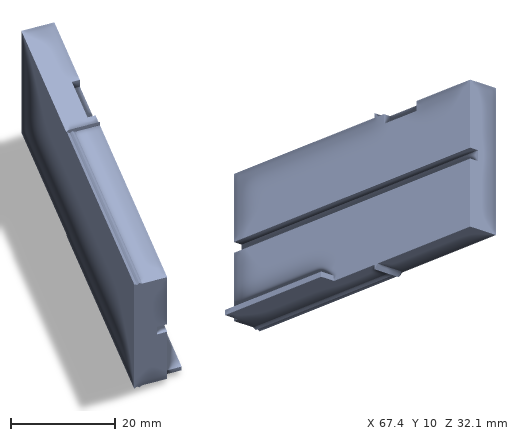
import cadquery as cq

LENGTH = 67.4
THICKNESS = 6.7
HALF_HEIGHT = 15.1

BARB_TIP = 16.05
BARB_START = 26.4
SHOULDER_X = 27.2
BARB_BEVEL = 0.5
BARB_FRONT_TIP = 15.6
BARB_FRONT_START = 26.75

BEAD_TOP = 15.5
BEAD_VALLEY_Y = 0.6
BEAD_PEAK_Y = 1.0
BEAD_BACK_Y = 1.6

CHANNEL_WIDTH = 2.2
CHANNEL_DEPTH = 2.0

NOTCH_START = 15.2
NOTCH_END = 24.6
NOTCH_DEPTH_Y = 1.6
NOTCH_DEPTH_Z = 2.0

TAB_START = 38.8
TAB_END = 66.25
TAB_THICKNESS = 1.1
TAB_REACH = 3.3

OVERLAP = 0.35


def block(x_range, y_range, z_range):
    """Box spanning the given (low, high) ranges."""
    (x0, x1), (y0, y1), (z0, z1) = x_range, y_range, z_range
    return cq.Workplane("XY").box(x1 - x0, y1 - y0, z1 - z0, centered=False).translate((x0, y0, z0))


def barb_section(start, tip, y):
    """Closed triangular wire of the barb at depth y."""
    corners = [(start, HALF_HEIGHT), (SHOULDER_X, tip), (SHOULDER_X, HALF_HEIGHT)]
    return cq.Wire.makePolygon([cq.Vector(x, y, z) for x, z in corners], close=True)


def upper_barb():
    front = barb_section(BARB_FRONT_START, BARB_FRONT_TIP, 0)
    full = barb_section(BARB_START, BARB_TIP, BARB_BEVEL)
    back = barb_section(BARB_START, BARB_TIP, THICKNESS)
    bevel = cq.Workplane(cq.Solid.makeLoft([front, full], True))
    ramp = cq.Workplane(cq.Solid.makeLoft([full, back], True))
    return ramp.union(bevel)


def upper_bead():
    """Bead profile: front lip, V valley, then a ridge falling to the plate edge."""
    profile = [
        (0, HALF_HEIGHT - OVERLAP),
        (0, BEAD_TOP),
        (BEAD_VALLEY_Y, HALF_HEIGHT),
        (BEAD_PEAK_Y, BEAD_TOP),
        (BEAD_BACK_Y, HALF_HEIGHT),
        (BEAD_BACK_Y, HALF_HEIGHT - OVERLAP),
    ]
    bead = cq.Workplane("YZ").polyline(profile).close().extrude(LENGTH - SHOULDER_X)
    return bead.translate((SHOULDER_X, 0, 0))


plate = block((0, LENGTH), (0, THICKNESS), (-HALF_HEIGHT, HALF_HEIGHT))

for edge_feature in (upper_barb(), upper_bead()):
    plate = plate.union(edge_feature).union(edge_feature.mirror("XY"))

channel = block(
    (0, LENGTH),
    (THICKNESS - CHANNEL_DEPTH, THICKNESS),
    (-CHANNEL_WIDTH / 2, CHANNEL_WIDTH / 2),
)
notch = block(
    (NOTCH_START, NOTCH_END),
    (THICKNESS - NOTCH_DEPTH_Y, THICKNESS),
    (HALF_HEIGHT - NOTCH_DEPTH_Z, HALF_HEIGHT),
)
tab = block(
    (TAB_START, TAB_END),
    (THICKNESS - OVERLAP, THICKNESS + TAB_REACH),
    (-HALF_HEIGHT, -HALF_HEIGHT + TAB_THICKNESS),
)

result = plate.cut(channel).cut(notch).union(tab)